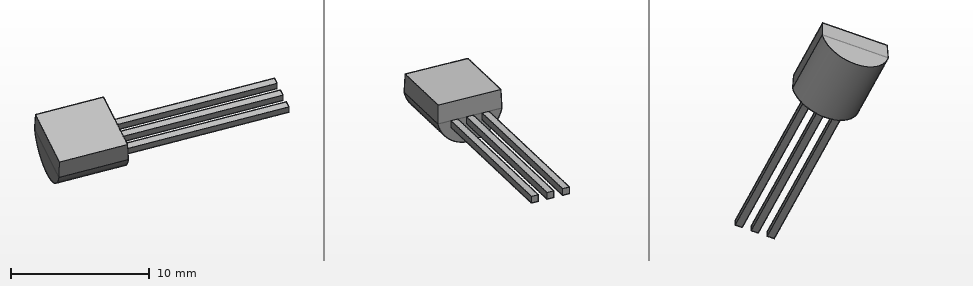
import cadquery as cq

total_length = 18.03
body_width = 5.21
body_length = 5.34
body_height = 3.6

block_height = 1.51
block_draft = 2.1
base_depth = body_height - block_height

lead_size = 0.55
lead_pitch = 1.26
lead_count = 3
lead_embed = 0.18


def make_base():
    """Round underside, with its flat chord on Z = 0."""
    half_width = body_width / 2
    return (
        cq.Workplane("XZ")
        .moveTo(-half_width, 0)
        .threePointArc((0, -base_depth), (half_width, 0))
        .close()
        .extrude(-body_length)
    )


def make_block():
    """Upper block that narrows towards its flat top."""
    return (
        cq.Workplane("XY")
        .center(0, body_length / 2)
        .rect(body_width, body_length)
        .extrude(block_height, taper=block_draft)
    )


def make_lead(x):
    """Square lead whose top face lies on the split plane, Z = 0."""
    start = body_length - lead_embed
    return (
        cq.Workplane("XY")
        .box(lead_size, total_length - start, lead_size, centered=(True, False, False))
        .translate((x, start, -lead_size))
    )


result = make_base().union(make_block())
for index in range(lead_count):
    lead_x = (index - (lead_count - 1) / 2) * lead_pitch
    result = result.union(make_lead(lead_x))